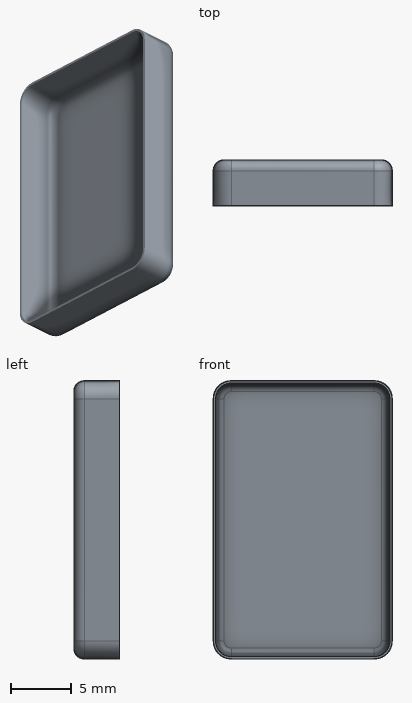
import cadquery as cq

width = 14.8
depth = 3.8
height = 23.0

wall = 0.2
corner_radius = 1.5
floor_edge_radius = 0.9


def rounded_block(inset):
    """Block drawn in by `inset` on the four sides and the floor, with rounded corners and floor edge."""
    block_depth = depth - inset
    return (
        cq.Workplane("XY")
        .box(width - 2 * inset, block_depth, height - 2 * inset)
        .translate((0, block_depth / 2, 0))
        .edges("|Y")
        .fillet(corner_radius - inset)
        .faces(">Y")
        .edges()
        .fillet(floor_edge_radius - inset)
    )


outer_body = rounded_block(0)
cavity = rounded_block(wall)

result = outer_body.cut(cavity)